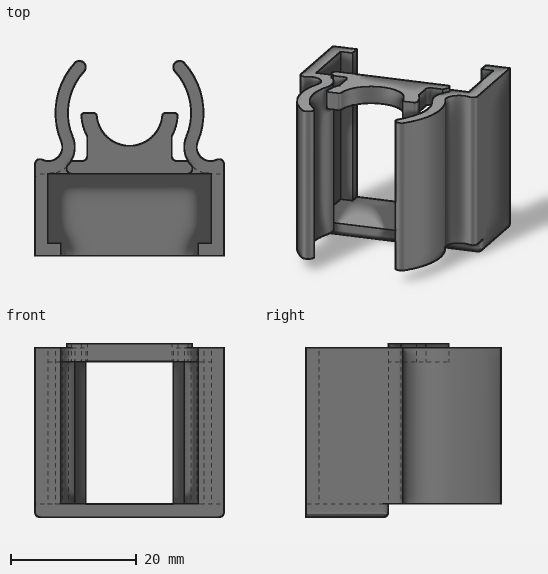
import cadquery as cq
import math

width = 30.05
depth = 31.02
height = 27.6

floor_thickness = 2.1
wall_top = 26.95
half_width = width / 2
inner_half_width = 12.97
opening_half_width = 10.95
lip_depth = 2.05
box_depth = 13.1
round_radius = 0.8

arm_thickness = 2.02
clip_outer_radius = 11.8
clip_inner_radius = clip_outer_radius - arm_thickness
clip_center_y = 22.75
root_groove_radius = 2.2
root_outer_radius = root_groove_radius + arm_thickness
root_y = box_depth + root_outer_radius
root_distance = clip_outer_radius + root_groove_radius
root_x = math.sqrt(root_distance**2 - (clip_center_y - root_y)**2)

plate_bottom = 24.75
plate_back_y = box_depth + 2.02
cradle_radius = 5.2
horn_outer_radius = 7.7
neck_half_width = 6.73
horn_tip_round = 0.5


def polar(center, radius, angle):
    """Point on a circle, with the angle in radians."""
    return (center[0] + radius * math.cos(angle), center[1] + radius * math.sin(angle))


def mirror_union(body):
    return body.union(body.mirror("YZ"))


def extrude_between(outline, bottom, top):
    return outline.extrude(top - bottom).translate((0, 0, bottom))


def make_floor():
    floor = cq.Workplane("XY").box(width, box_depth, floor_thickness, centered=(True, False, False))
    floor = floor.edges("|Z and >Y").fillet(round_radius)
    return floor.faces("<Z").edges("not <Y").fillet(round_radius)


def make_side():
    """Right side wall with its front lip and spring arm, as one constant profile."""
    clip = (0, clip_center_y)
    root = (root_x, root_y)
    clip_middle_radius = clip_outer_radius - arm_thickness / 2
    tip_y = depth - arm_thickness / 2
    tip_angle = math.asin((tip_y - clip_center_y) / clip_middle_radius)
    tip = polar(clip, clip_middle_radius, tip_angle)
    join_angle = math.atan2(root_y - clip_center_y, root_x)
    clip_mid_angle = (tip_angle + join_angle) / 2

    corner_x = half_width - round_radius
    corner_distance = root_groove_radius + round_radius
    corner_y = root_y - math.sqrt(corner_distance**2 - (corner_x - root_x)**2)
    corner = (corner_x, corner_y)
    corner_angle = math.atan2(root_y - corner_y, root_x - corner_x)
    groove_end = join_angle - math.pi

    outline = (
        cq.Workplane("XY")
        .moveTo(opening_half_width, 0)
        .lineTo(half_width, 0)
        .lineTo(half_width, corner_y)
        .threePointArc(polar(corner, round_radius, corner_angle / 2),
                       polar(corner, round_radius, corner_angle))
        .threePointArc(polar(root, root_groove_radius, -0.75 * math.pi),
                       polar(root, root_groove_radius, groove_end + 2 * math.pi))
        .threePointArc(polar(clip, clip_outer_radius, clip_mid_angle),
                       polar(clip, clip_outer_radius, tip_angle))
        .threePointArc(polar(tip, arm_thickness / 2, tip_angle + math.pi / 2),
                       polar(clip, clip_inner_radius, tip_angle))
        .threePointArc(polar(clip, clip_inner_radius, clip_mid_angle),
                       polar(clip, clip_inner_radius, join_angle))
        .threePointArc(polar(root, root_outer_radius, -0.75 * math.pi),
                       (root_x, box_depth))
        .lineTo(inner_half_width, box_depth)
        .lineTo(inner_half_width, lip_depth)
        .lineTo(opening_half_width, lip_depth)
        .close()
    )
    return extrude_between(outline, floor_thickness, wall_top)


def make_plate_base():
    """Strip that ties the two arm roots together at the top."""
    outline = cq.Workplane("XY").moveTo(0, (box_depth + plate_back_y) / 2)
    outline = outline.rect(2 * root_x, plate_back_y - box_depth)
    return extrude_between(outline, plate_bottom, wall_top)


def make_cradle():
    """Right half of the horned cradle, whose foot follows the arm root."""
    root = (root_x, root_y)
    end_y = box_depth + round_radius
    end_distance = root_outer_radius + round_radius
    end_x = root_x - math.sqrt(end_distance**2 - (root_y - end_y)**2)
    end = (end_x, end_y)
    end_angle = math.atan2(root_y - end_y, root_x - end_x)
    back_angle = -math.pi - math.asin((plate_back_y - root_y) / root_outer_radius)
    root_mid_angle = (back_angle + end_angle - math.pi) / 2

    clip = (0, clip_center_y)
    neck_angle = -math.acos(neck_half_width / horn_outer_radius)

    outline = (
        cq.Workplane("XY")
        .moveTo(0, box_depth)
        .lineTo(end_x, box_depth)
        .threePointArc(polar(end, round_radius, (end_angle - math.pi / 2) / 2),
                       polar(end, round_radius, end_angle))
        .threePointArc(polar(root, root_outer_radius, root_mid_angle),
                       polar(root, root_outer_radius, back_angle))
        .lineTo(neck_half_width, plate_back_y)
        .lineTo(*polar(clip, horn_outer_radius, neck_angle))
        .threePointArc(polar(clip, horn_outer_radius, neck_angle / 2),
                       (horn_outer_radius, clip_center_y))
        .lineTo(cradle_radius, clip_center_y)
        .threePointArc(polar(clip, cradle_radius, -math.pi / 4),
                       (0, clip_center_y - cradle_radius))
        .close()
    )
    cradle = extrude_between(outline, plate_bottom, height)
    cradle = cradle.edges("|Z and >Y").fillet(horn_tip_round)
    neck_foot = cq.selectors.NearestToPointSelector(
        (neck_half_width, plate_back_y, (plate_bottom + height) / 2))
    return cradle.edges(neck_foot).fillet(round_radius)


sides = mirror_union(make_side())
cradle = mirror_union(make_cradle())
result = make_floor().union(sides).union(make_plate_base()).union(cradle)